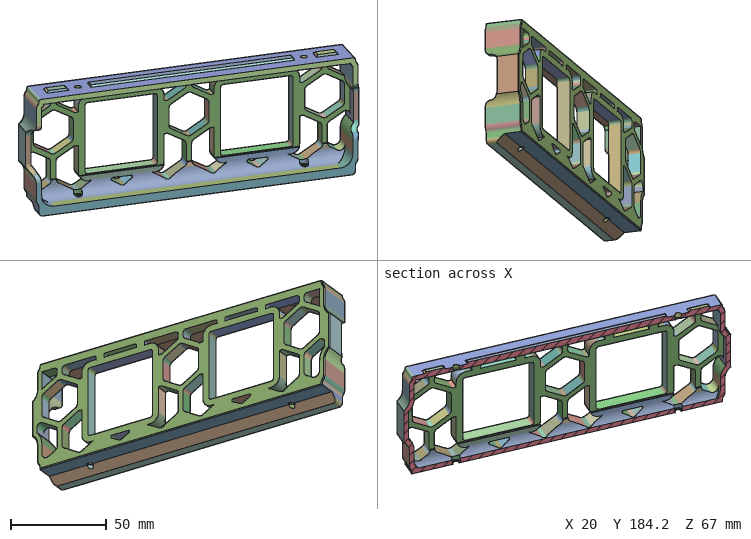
import cadquery as cq
import math

DEPTH = 20.0
HEIGHT = 62.0
MID_Z = HEIGHT / 2
WALL = 3.0
PLATE = 7.0
EDGE_CHAMFER = 0.5

BODY_HALF = 89.0
NECK_HALF = 87.5
TONGUE_HALF = 92.1
NECK_HEIGHT = 1.1
STEP_MIDDLE_HEIGHT = 2.8
STEP_HEIGHT = 5.5
TONGUE_TIP_HALF_Z = 10.3
TONGUE_ROOT_HALF_Z = 16.3

NOTCH_FLOOR_X = 12.0
NOTCH_HALF_Z = 16.0
NOTCH_MOUTH_ROUND = 3.4
NOTCH_DEPTH = DEPTH - NOTCH_FLOOR_X
NOTCH_FLOOR_ROUND = NOTCH_DEPTH - NOTCH_MOUTH_ROUND

FOOT_DROP = 4.0
FOOT_TOP_X = 9.6
FOOT_BOTTOM_X = 14.6
FOOT_END_ROUND = 2.2
RAIL_X = 8.0
RAIL_TOP_Z = 10.5
FLOOR_Z = 0.8
FLOOR_ROUND = 6.8

OPENING = 40.0
OPENING_ROUND = 1.5
FRAME_WALL = 3.75
FRAME = OPENING + 2 * FRAME_WALL

HEX_FLATS = 22.0
HEX_GAP = 3.0
HEX_PITCH = HEX_FLATS + HEX_GAP
HEX_ROW = HEX_PITCH * math.cos(math.radians(30))
HEX_DIAMETER = HEX_FLATS / math.cos(math.radians(30))
HEX_ROUND = 2.4
HEX_MIDDLE_Z = 37.0
MIDDLE_COLUMNS = (-3, 0, 3)
POST_COLUMNS = (-2, -1, 1, 2)
OPENING_COLUMN = 1.5
SCREW_COLUMN = 2.5
END_COLUMN = 3.5
SIDE_COLUMNS = (0.5, OPENING_COLUMN, SCREW_COLUMN, END_COLUMN)
OPENING_Y = OPENING_COLUMN * HEX_PITCH
TOP_RAIL = 5.0
POST_WIDTH = 5.0
POST_ROUND = 1.0
JOINT_ROUND = 2.0
SLIVER_ROUND = 0.8
END_BOTTOM_ROUND = 3.0
END_TOP_ROUND = 2.4

PAD_HEIGHT = 1.0
PAD_WIDTH = 6.0
PAD_TAPER = 1.0
SHORT_PAD_LENGTH = 12.0
SHORT_PAD_Y = 74.5
LONG_PAD_LENGTH = 112.4
LONG_PAD_END_TAPER = 0.3

SCREW_DIAMETER = 3.4
SEAT_DIAMETER = 4.7
SCREW_X = DEPTH / 2
SCREW_Y = SCREW_COLUMN * HEX_PITCH

SIDES = (-1, 1)


def box(x_range, y_range, z_range):
    """Box between the given limits on each axis."""
    low, high = zip(x_range, y_range, z_range)
    size = [b - a for a, b in zip(low, high)]
    return cq.Workplane("XY").box(*size, centered=False).translate(low)


def arc_middle(start, end, radius):
    """Middle of the short arc from start to end that bulges to the left of its chord."""
    dy = end[0] - start[0]
    dz = end[1] - start[1]
    chord = math.hypot(dy, dz)
    bulge = radius - math.sqrt(radius**2 - chord**2 / 4)
    return (
        (start[0] + end[0]) / 2 - dz / chord * bulge,
        (start[1] + end[1]) / 2 + dy / chord * bulge,
    )


def flare_middle(upright, tip):
    """Middle of the arc that leaves `upright` vertically and curves sideways to `tip`."""
    across = abs(tip[0] - upright[0])
    along = abs(tip[1] - upright[1])
    radius = (across**2 + along**2) / (2 * across)
    inner, outer = arc_middle(upright, tip, radius), arc_middle(tip, upright, radius)
    return min(inner, outer, key=lambda point: abs(point[0] - upright[0]))


def end_outline():
    """Closed YZ outline of the body with its tongues."""

    def mirrored(point):
        return (point[0], HEIGHT - point[1])

    neck = (NECK_HALF, NECK_HEIGHT)
    share = (STEP_MIDDLE_HEIGHT - NECK_HEIGHT) / (STEP_HEIGHT - NECK_HEIGHT)
    step_middle = (NECK_HALF + share * (BODY_HALF - NECK_HALF), STEP_MIDDLE_HEIGHT)
    step_end = (BODY_HALF, STEP_HEIGHT)
    root = (BODY_HALF, MID_Z - TONGUE_ROOT_HALF_Z)
    tip = (TONGUE_HALF, MID_Z - TONGUE_TIP_HALF_Z)
    into_step = flare_middle(neck, step_middle)
    out_of_step = flare_middle(step_end, step_middle)
    ramp = flare_middle(root, tip)
    top_corner = (NECK_HALF - NECK_HEIGHT, HEIGHT)
    half = (
        cq.Workplane("YZ")
        .moveTo(0, 0)
        .lineTo(NECK_HALF, 0)
        .lineTo(*neck)
        .threePointArc(into_step, step_middle)
        .threePointArc(out_of_step, step_end)
        .lineTo(*root)
        .threePointArc(ramp, tip)
        .lineTo(*mirrored(tip))
        .threePointArc(mirrored(ramp), mirrored(root))
        .lineTo(*mirrored(step_end))
        .threePointArc(mirrored(out_of_step), mirrored(step_middle))
        .threePointArc(mirrored(into_step), mirrored(neck))
        .threePointArc(arc_middle(top_corner, mirrored(neck), NECK_HEIGHT), top_corner)
        .lineTo(0, HEIGHT)
    )
    return half.mirrorY()


def make_body():
    """Solid body with a chamfered front edge."""
    return end_outline().extrude(DEPTH).faces("<X").edges().chamfer(EDGE_CHAMFER)


def make_foot():
    """Full-length foot below the body with a sloping front and rounded ends."""
    profile = [
        (FOOT_TOP_X, 0),
        (FOOT_BOTTOM_X, -FOOT_DROP),
        (DEPTH, -FOOT_DROP),
        (DEPTH, 0),
    ]
    foot = cq.Workplane("XZ").polyline(profile).close().extrude(NECK_HALF, both=True)
    envelope = box((0, DEPTH), (-NECK_HALF, NECK_HALF), (-FOOT_DROP, MID_Z))
    return foot.intersect(envelope.faces("<Z").edges("|X").fillet(FOOT_END_ROUND))


def inside_walls():
    """Block bounded by the inner faces of the outer walls."""
    return end_outline().offset2D(-WALL, "intersection").extrude(DEPTH)


def make_cavity():
    """Hollow behind the plate, with large rounds along its floor."""
    half = BODY_HALF - WALL
    upper = inside_walls().cut(box((0, PLATE), (-TONGUE_HALF, TONGUE_HALF), (0, HEIGHT)))
    upper = upper.cut(box((PLATE, DEPTH), (-TONGUE_HALF, TONGUE_HALF), (0, RAIL_TOP_Z)))
    lower = box((RAIL_X, DEPTH), (-half, half), (FLOOR_Z, RAIL_TOP_Z))
    lower = lower.faces("<Z").edges("|X or <X").fillet(FLOOR_ROUND)
    return upper.union(lower)


def make_notch():
    """S-sided channel along Y that lowers the end walls at mid height."""
    diagonal = math.sin(math.radians(45))
    bend_x = DEPTH - NOTCH_MOUTH_ROUND
    floor_half = NOTCH_HALF_Z - NOTCH_DEPTH
    bend_half = NOTCH_HALF_Z - NOTCH_MOUTH_ROUND
    mouth_x = bend_x + NOTCH_MOUTH_ROUND * diagonal
    mouth_half = NOTCH_HALF_Z - NOTCH_MOUTH_ROUND * diagonal
    inner_x = bend_x - NOTCH_FLOOR_ROUND * diagonal
    inner_half = floor_half + NOTCH_FLOOR_ROUND * diagonal
    profile = (
        cq.Workplane("XZ", origin=(0, 0, MID_Z))
        .moveTo(DEPTH, -NOTCH_HALF_Z)
        .threePointArc((mouth_x, -mouth_half), (bend_x, -bend_half))
        .threePointArc((inner_x, -inner_half), (NOTCH_FLOOR_X, -floor_half))
        .lineTo(NOTCH_FLOOR_X, floor_half)
        .threePointArc((inner_x, inner_half), (bend_x, bend_half))
        .threePointArc((mouth_x, mouth_half), (DEPTH, NOTCH_HALF_Z))
        .close()
    )
    return profile.extrude(TONGUE_HALF, both=True)


def squares(size, radius):
    """Two rounded square blocks, one around each opening centre."""
    centres = [(side * OPENING_Y, MID_Z) for side in SIDES]
    blocks = cq.Workplane("YZ").pushPoints(centres).rect(size, size).extrude(DEPTH)
    return blocks.edges("|X").fillet(radius)


def hexagon(y, z):
    """Hexagonal prism through the depth with two corners pointing up and down."""
    sketch = cq.Workplane("YZ").center(y, z).transformed(rotate=(0, 0, 90))
    return sketch.polygon(6, HEX_DIAMETER).extrude(DEPTH)


def rounded_hexagon(y, z):
    return hexagon(y, z).edges("|X").fillet(HEX_ROUND)


def round_corner(window, y, z, radius):
    """Round the edge along X that passes through the given point."""
    reach = 0.1
    corner = cq.selectors.BoxSelector((0, y - reach, z - reach), (DEPTH, y + reach, z + reach))
    return window.edges("|X").edges(corner).fillet(radius)


def upper_window(y, frames):
    """Window of the upper row, cut short by the top rail, the posts and the frames."""
    ceiling = HEIGHT - TOP_RAIL
    half = BODY_HALF - WALL
    window = rounded_hexagon(y, HEX_MIDDLE_Z + HEX_ROW)
    window = window.intersect(box((0, DEPTH), (-half, half), (0, ceiling)))
    for column in POST_COLUMNS:
        middle = column * HEX_PITCH
        post_span = (middle - POST_WIDTH / 2, middle + POST_WIDTH / 2)
        window = window.cut(box((0, DEPTH), post_span, (0, HEIGHT)))
    corners = [(column, HEX_GAP, JOINT_ROUND) for column in MIDDLE_COLUMNS]
    corners += [(column, POST_WIDTH, POST_ROUND) for column in POST_COLUMNS]
    for column, bar_width, radius in corners:
        for side in SIDES:
            corner_y = column * HEX_PITCH + side * bar_width / 2
            if abs(corner_y - y) < HEX_PITCH / 2:
                window = round_corner(window, corner_y, ceiling, radius)
    return window.cut(frames)


def lower_window(y, frames):
    """Window of the lower row. The short ones below the openings get rounded tips."""
    window = rounded_hexagon(y, HEX_MIDDLE_Z - HEX_ROW).cut(frames)
    if abs(y) == OPENING_Y:
        window = window.faces(">Z").edges("|X").fillet(SLIVER_ROUND)
    return window


def end_window(side):
    """Lower corner window that follows the inside of the end wall, with its corners rounded.

    A copy of the hexagon shifted along its upper slope carries that slope on to the tongue.
    """
    y = side * END_COLUMN * HEX_PITCH
    z = HEX_MIDDLE_Z - HEX_ROW
    slope = math.tan(math.radians(30))
    wall_y = BODY_HALF - WALL
    tongue_y = TONGUE_HALF - WALL
    below_tongue = box((0, DEPTH), (-wall_y, wall_y), (0, RAIL_TOP_Z))
    window = hexagon(y, z)
    reach = tongue_y - wall_y
    window = window.union(window.translate((0, side * reach, slope * reach)))
    window = window.intersect(inside_walls().union(below_tongue)).clean()
    bottom_z = z - HEX_DIAMETER / 2 + slope * (abs(y) - wall_y)
    tongue_z = z + HEX_DIAMETER / 2 + slope * (tongue_y - abs(y))
    flat_y = y - side * HEX_FLATS / 2
    window = round_corner(window, side * wall_y, bottom_z, END_BOTTOM_ROUND)
    window = round_corner(window, side * tongue_y, tongue_z, END_TOP_ROUND)
    for end in SIDES:
        window = round_corner(window, flat_y, z + end * HEX_DIAMETER / 4, HEX_ROUND)
    return window


def make_windows():
    """All openings through the front plate."""
    frames = squares(FRAME, OPENING_ROUND + FRAME_WALL)
    windows = squares(OPENING, OPENING_ROUND)
    for column in MIDDLE_COLUMNS:
        windows = windows.union(rounded_hexagon(column * HEX_PITCH, HEX_MIDDLE_Z))
    for column in SIDE_COLUMNS:
        for side in SIDES:
            y = side * column * HEX_PITCH
            windows = windows.union(upper_window(y, frames))
            if column == END_COLUMN:
                windows = windows.union(end_window(side))
            else:
                windows = windows.union(lower_window(y, frames))
    return windows


def make_pad(y, length, end_taper):
    """Tapered locating pad on the top face."""
    base = cq.Workplane("XY", origin=(DEPTH / 2, y, HEIGHT)).rect(PAD_WIDTH, length)
    top = base.workplane(offset=PAD_HEIGHT)
    return top.rect(PAD_WIDTH - 2 * PAD_TAPER, length - 2 * end_taper).loft()


def make_screw_holes():
    """Through holes, with the wider seats that open upwards from floor level."""
    centres = [(SCREW_X, side * SCREW_Y) for side in SIDES]
    holes = cq.Workplane("XY", origin=(0, 0, -FOOT_DROP)).pushPoints(centres)
    holes = holes.circle(SCREW_DIAMETER / 2).extrude(FOOT_DROP + HEIGHT)
    seats = cq.Workplane("XY", origin=(0, 0, FLOOR_Z)).pushPoints(centres)
    return holes.union(seats.circle(SEAT_DIAMETER / 2).extrude(FLOOR_ROUND))


part = make_body().union(make_foot())
part = part.cut(make_cavity()).cut(make_notch()).cut(make_windows())
part = part.union(make_pad(0, LONG_PAD_LENGTH, LONG_PAD_END_TAPER))
for side in SIDES:
    part = part.union(make_pad(side * SHORT_PAD_Y, SHORT_PAD_LENGTH, PAD_TAPER))
result = part.cut(make_screw_holes())